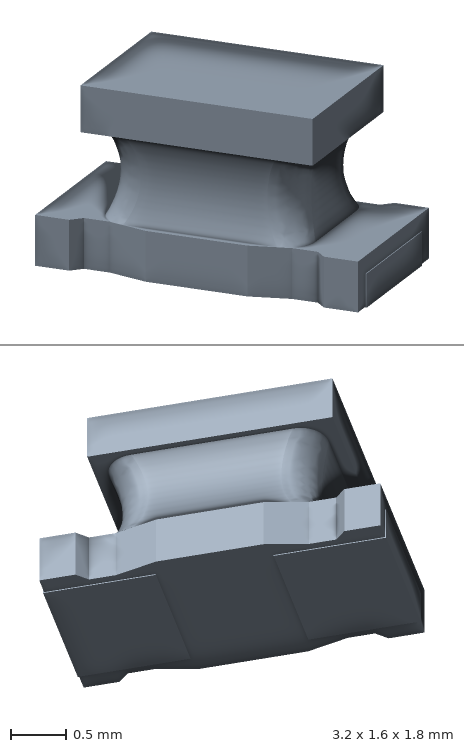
import cadquery as cq

length = 3.2
width = 1.6
height = 1.8

pad_thickness = 0.01
pad_width = 1.25
pad_height = 0.325
pad_inner_x = 0.55

base_half_length = length / 2 - pad_thickness
base_bottom = pad_thickness
base_top = 0.495
half_width = width / 2
waist_depth = 0.1
end_block_x = 1.255
waist_outer_x = 1.152
waist_inner_x = 0.9
belly_x = 0.502

flange_length = 2.288
flange_thickness = 0.448
flange_bottom = height - flange_thickness

neck_end_x = 1.025
neck_end_y = 0.73
neck_hollow = 0.1
neck_corner_radius = 0.3


def make_base():
    waist_y = half_width - waist_depth
    left_half = [
        (-base_half_length, half_width),
        (-end_block_x, half_width),
        (-waist_outer_x, waist_y),
        (-waist_inner_x, waist_y),
        (-belly_x, half_width),
    ]
    back_side = left_half + [(-x, y) for x, y in reversed(left_half)]
    front_side = [(-x, -y) for x, y in back_side]
    return (
        cq.Workplane("XY", origin=(0, 0, base_bottom))
        .polyline(back_side + front_side)
        .close()
        .extrude(base_top - base_bottom)
    )


def hollow_sided_prism(plane, half_span, half_depth):
    """Prism whose two upright sides are concave arcs."""
    middle_z = (base_top + flange_bottom) / 2
    waist = half_span - neck_hollow
    return (
        cq.Workplane(plane)
        .moveTo(-half_span, base_top)
        .lineTo(half_span, base_top)
        .threePointArc((waist, middle_z), (half_span, flange_bottom))
        .lineTo(-half_span, flange_bottom)
        .threePointArc((-waist, middle_z), (-half_span, base_top))
        .close()
        .extrude(half_depth, both=True)
    )


def make_neck():
    hollow_ends = hollow_sided_prism("XZ", neck_end_x, width)
    hollow_sides = hollow_sided_prism("YZ", neck_end_y, length)
    neck = hollow_ends.intersect(hollow_sides)
    upright_corners = neck.edges("not(#Z)")
    return upright_corners.fillet(neck_corner_radius)


def make_flange():
    return (
        cq.Workplane("XY", origin=(0, 0, flange_bottom))
        .rect(flange_length, width)
        .extrude(flange_thickness)
    )


def make_pad():
    """Terminal pad at the +X end."""
    return (
        cq.Workplane("XZ")
        .moveTo(pad_inner_x, 0)
        .lineTo(length / 2, 0)
        .lineTo(length / 2, pad_height)
        .lineTo(base_half_length, pad_height)
        .lineTo(base_half_length, base_bottom)
        .lineTo(pad_inner_x, base_bottom)
        .close()
        .extrude(pad_width / 2, both=True)
    )


pad = make_pad()
result = (
    make_base()
    .union(make_neck())
    .union(make_flange())
    .union(pad)
    .union(pad.mirror("YZ"))
)